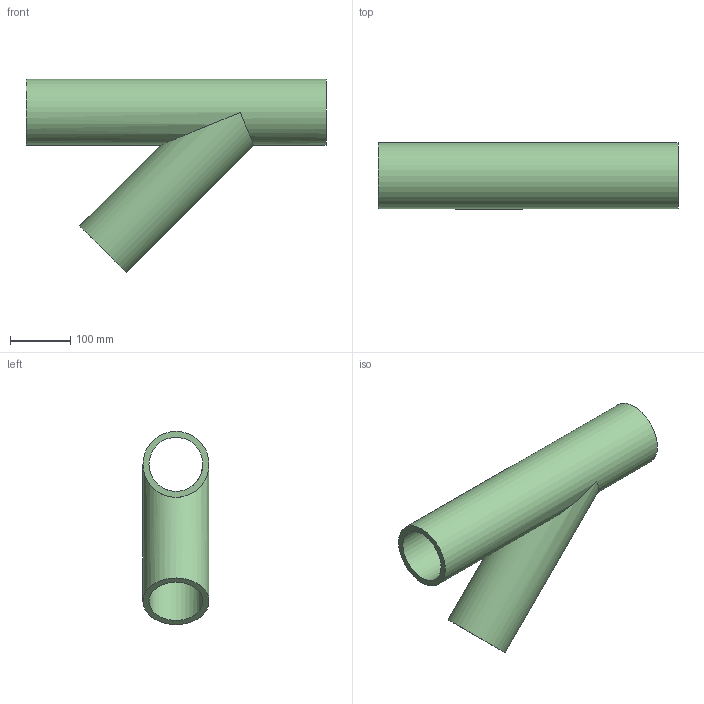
import cadquery as cq
import math

outer_diameter = 110.0
bore_diameter = 90.0
run_length = 500.0
junction_distance = 357.0
branch_angle = 45.0
overall_height = 322.13

outer_radius = outer_diameter / 2
slope = math.radians(branch_angle)
branch_drop = overall_height - outer_radius - outer_radius * math.cos(slope)
branch_length = branch_drop / math.sin(slope)

run_start = cq.Vector(-junction_distance, 0, 0)
run_direction = cq.Vector(1, 0, 0)
junction = cq.Vector(0, 0, 0)
branch_direction = cq.Vector(-math.cos(slope), 0, -math.sin(slope))


def run_cylinder(diameter):
    """Cylinder along the full length of the straight run."""
    return cq.Workplane(cq.Solid.makeCylinder(diameter / 2, run_length, run_start, run_direction))


def branch_cylinder(diameter):
    """Cylinder from the axis crossing to the open end of the branch."""
    return cq.Workplane(cq.Solid.makeCylinder(diameter / 2, branch_length, junction, branch_direction))


def wye_body(diameter):
    """Run and branch of one diameter, joined."""
    return run_cylinder(diameter).union(branch_cylinder(diameter))


result = wye_body(outer_diameter).cut(wye_body(bore_diameter))